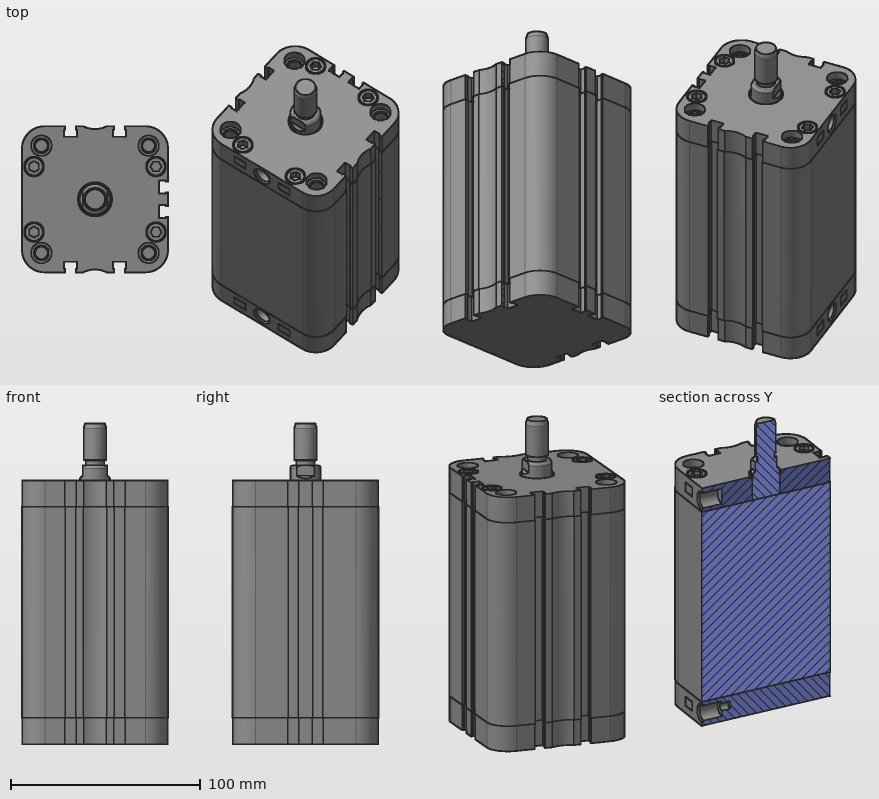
import cadquery as cq
import math

overall_height = 169.0
width = 77.0
corner_radius = 12.0
deck_z = 139.0
cap_height = 13.9
upper_cap_z = deck_z - cap_height
cap_inset = 0.1

slot_neck_width = 5.4
slot_inner_width = 6.6
cap_slot_clearance = 0.25
front_slot_pitch = 25.9
front_slot_depth = 5.5
front_slot_lip = 2.0
side_slot_pitch = 12.8
side_slot_depth = 4.7
side_slot_lip = 1.2
groove_width = 12.5
groove_depth = 1.5

port_diameter = 8.6
port_mouth_diameter = 10.5
port_depth = 11.8
port_height = 7.5
air_hole_diameter = 4.0
air_hole_offset = 1.0
air_hole_depth = 5.0

label_length = 7.5
label_height = 5.2
label_depth = 0.2
label_offset = 14.5
label_end_distance = 7.0

screw_x = 32.1
screw_y = 17.2
screw_recess_diameter = 10.5
screw_head_diameter = 9.3
screw_ring_depth = 0.7
socket_across_flats = 5.0
socket_depth = 4.2
mount_offset = 28.2
mount_bore_diameter = 10.8
mount_bore_depth = 4.5
mount_hole_diameter = 6.6
mount_mouth_diameter = 8.0
mount_hole_depth = 11.8

collar_diameter = 16.0
collar_height = 8.0
collar_fillet = 1.5
flats_width = 13.0
flats_height = 2.5
neck_diameter = 10.0
neck_length = 2.4
thread_diameter = 12.0
thread_tip_diameter = 10.5
thread_tip_length = 2.5
rod_recess_mouth_diameter = 18.0
rod_recess_diameter = 17.7
rod_recess_depth = 1.0
rod_clearance_diameter = 16.5
rod_clearance_depth = 2.0


def t_slot(pitch_position, depth, lip, clearance, z, height):
    """T-slot cutter opening toward +Y at the barrel face."""
    face = width / 2
    neck = cq.Workplane("XY").box(
        slot_neck_width + 2 * clearance, 2 * lip, height, centered=(True, True, False)
    ).translate((pitch_position, face, z))
    chamber_depth = depth - lip
    chamber = cq.Workplane("XY").box(
        slot_inner_width + 2 * clearance, chamber_depth, height, centered=(True, True, False)
    ).translate((pitch_position, face - lip - chamber_depth / 2, z))
    return neck.union(chamber)


def side_groove(z, height):
    """Shallow round groove at the middle of the +Y face."""
    radius = ((groove_width / 2) ** 2 + groove_depth ** 2) / (2 * groove_depth)
    center_y = width / 2 - groove_depth + radius
    return cq.Workplane("XY", origin=(0, center_y, z)).circle(radius).extrude(height)


def profile_block(inset, slot_clearance, z, height):
    """Length of the barrel section, with its outline drawn in by inset and its slots widened."""
    side = width - 2 * inset
    block = cq.Workplane("XY").box(side, side, height, centered=(True, True, False))
    block = block.edges("|Z").fillet(corner_radius - inset).translate((0, 0, z))
    for turn in (0, 180):
        block = block.cut(side_groove(z, height).rotate((0, 0, 0), (0, 0, 1), turn))
        for x in (-front_slot_pitch / 2, front_slot_pitch / 2):
            slot = t_slot(x, front_slot_depth, front_slot_lip, slot_clearance, z, height)
            block = block.cut(slot.rotate((0, 0, 0), (0, 0, 1), turn))
    for y in (-side_slot_pitch / 2, side_slot_pitch / 2):
        slot = t_slot(y, side_slot_depth, side_slot_lip, slot_clearance, z, height)
        block = block.cut(slot.rotate((0, 0, 0), (0, 0, 1), -90))
    return block


def cone_frustum(lower_diameter, upper_diameter, z, height):
    """Frustum about Z starting at z."""
    return (
        cq.Workplane("XZ", origin=(0, 0, z))
        .polyline([(0, 0), (lower_diameter / 2, 0), (upper_diameter / 2, height), (0, height)])
        .close()
        .revolve(360, (0, 0, 0), (0, 1, 0))
    )


def cut_port(cap, z):
    """Threaded port with a 45 degree mouth, bored in from the -X face."""
    face_x = -(width / 2 - cap_inset)
    mouth = (port_mouth_diameter - port_diameter) / 2
    port = (
        cq.Workplane("XY", origin=(face_x, 0, z))
        .polyline([
            (0, 0), (0, port_mouth_diameter / 2), (mouth, port_diameter / 2),
            (port_depth, port_diameter / 2), (port_depth, 0),
        ])
        .close()
        .revolve(360, (0, 0, 0), (1, 0, 0))
    )
    return cap.cut(port)


def cut_labels(cap, z):
    """Pair of shallow rectangular recesses either side of the port."""
    face_x = -(width / 2 - cap_inset)
    for y in (-label_offset, label_offset):
        label = cq.Workplane("XY").box(2 * label_depth, label_length, label_height)
        cap = cap.cut(label.translate((face_x, y, z)))
    return cap


def cut_screw(cap, x, y):
    """Screw head outlined by a ring groove, with its hexagon socket."""
    ring = (
        cq.Workplane("XY", origin=(x, y, deck_z))
        .circle(screw_recess_diameter / 2)
        .circle(screw_head_diameter / 2)
        .extrude(-screw_ring_depth)
    )
    across_corners = socket_across_flats / math.cos(math.pi / 6)
    socket = cq.Workplane("XY").polygon(6, across_corners).extrude(-socket_depth)
    if x < 0:
        socket = socket.rotate((0, 0, 0), (0, 0, 1), 30)
    return cap.cut(ring).cut(socket.translate((x, y, deck_z)))


def cut_mounting_hole(cap, x, y):
    """Counterbored hole with a countersunk mouth at the counterbore floor."""
    floor_z = deck_z - mount_bore_depth
    mouth = (mount_mouth_diameter - mount_hole_diameter) / 2
    bore = cq.Workplane("XY", origin=(x, y, deck_z)).circle(mount_bore_diameter / 2)
    hole = cq.Workplane("XY", origin=(x, y, deck_z)).circle(mount_hole_diameter / 2)
    countersink = cone_frustum(mount_hole_diameter, mount_mouth_diameter, floor_z - mouth, mouth)
    cap = cap.cut(bore.extrude(-mount_bore_depth))
    cap = cap.cut(hole.extrude(-mount_hole_depth))
    return cap.cut(countersink.translate((x, y, 0)))


def cut_rod_bore(cap):
    """Rod bore that widens in two steps to a chamfered recess at the deck."""
    deck = cq.Workplane("XY", origin=(0, 0, deck_z))
    bore = deck.circle(collar_diameter / 2).extrude(-cap_height)
    clearance = deck.circle(rod_clearance_diameter / 2).extrude(-rod_clearance_depth)
    recess = deck.circle(rod_recess_diameter / 2).extrude(-rod_recess_depth)
    mouth_depth = (rod_recess_mouth_diameter - rod_recess_diameter) / 2
    mouth = cone_frustum(
        rod_recess_diameter, rod_recess_mouth_diameter, deck_z - mouth_depth, mouth_depth
    )
    return cap.cut(bore).cut(clearance).cut(recess).cut(mouth)


def make_barrel():
    return profile_block(0, 0, cap_height, upper_cap_z - cap_height)


def make_lower_cap():
    cap = profile_block(cap_inset, cap_slot_clearance, 0, cap_height)
    cap = cut_port(cap, port_height)
    air_hole = (
        cq.Workplane("YZ", origin=(-width / 2, 0, port_height + air_hole_offset))
        .circle(air_hole_diameter / 2)
        .extrude(port_depth + air_hole_depth)
    )
    return cut_labels(cap.cut(air_hole), label_end_distance)


def make_upper_cap():
    cap = profile_block(cap_inset, cap_slot_clearance, upper_cap_z, cap_height)
    cap = cut_port(cap, deck_z - port_height)
    cap = cut_labels(cap, deck_z - label_end_distance)
    for x_sign in (-1, 1):
        for y_sign in (-1, 1):
            cap = cut_screw(cap, x_sign * screw_x, y_sign * screw_y)
            cap = cut_mounting_hole(cap, x_sign * mount_offset, y_sign * mount_offset)
    return cut_rod_bore(cap)


def make_rod():
    """Rod with two wrench flats facing +X and -X, an undercut neck and a threaded end."""
    collar_top = deck_z + collar_height
    neck_top = collar_top + neck_length
    thread_length = overall_height - neck_top - thread_tip_length
    tip_z = overall_height - thread_tip_length
    thread_chamfer = (thread_diameter - neck_diameter) / 2

    collar = (
        cq.Workplane("XY", origin=(0, 0, upper_cap_z))
        .circle(collar_diameter / 2)
        .extrude(collar_top - upper_cap_z)
        .faces(">Z").edges().fillet(collar_fillet)
    )
    flat_x = flats_width / 2
    runout = collar_diameter / 2 - flat_x
    flat_z = deck_z + flats_height
    flat_cut = (
        cq.Workplane("XZ")
        .polyline([
            (flat_x, collar_top), (flat_x, flat_z),
            (flat_x + runout, flat_z - runout), (flat_x + runout, collar_top),
        ])
        .close()
        .extrude(collar_diameter / 2, both=True)
    )
    collar = collar.cut(flat_cut).cut(flat_cut.mirror("YZ"))

    neck = cq.Workplane("XY", origin=(0, 0, collar_top)).circle(neck_diameter / 2).extrude(neck_length)
    thread = (
        cq.Workplane("XY", origin=(0, 0, neck_top))
        .circle(thread_diameter / 2)
        .extrude(thread_length)
        .faces("<Z").edges().chamfer(thread_chamfer / 2, thread_chamfer)
    )
    tip = cone_frustum(thread_diameter, thread_tip_diameter, tip_z, thread_tip_length)
    return collar.union(neck).union(thread).union(tip)


barrel = make_barrel()
lower_cap = make_lower_cap()
upper_cap = make_upper_cap()
rod = make_rod()

result = cq.Compound.makeCompound([barrel.val(), lower_cap.val(), upper_cap.val(), rod.val()])